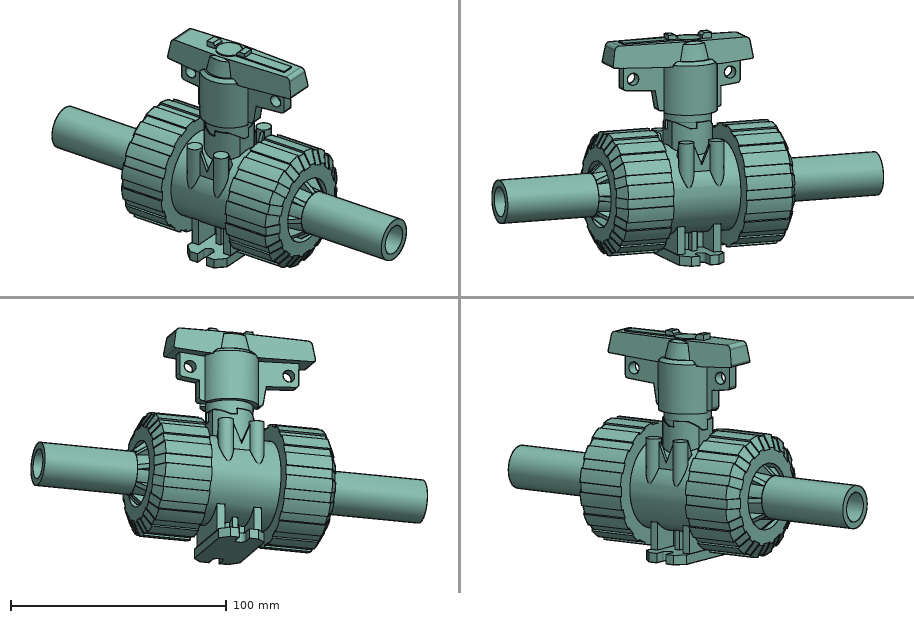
import cadquery as cq

LENGTH = 188.0
AXIS_TO_BASE = 32.9

BODY_R = 21.0
BODY_HALF = 35.7
BODY_BORE_R = 6.4

PIPE_R = 10.2
PIPE_BORE_R = 7.0
HUB_START = 48.5
HUB_SMALL_R = 10.3
HUB_LARGE_R = 11.3
FLANGE_FACE = 37.6
RIB_COUNT = 8
RIB_WIDTH = 2.3
RIB_TOP_X = 42.0

NUT_R = 29.0
NUT_INNER_X = 18.2
NUT_OUTER_X = 44.5
NUT_CHAMFER_X = 3.5
NUT_CHAMFER_R = 6.0
NUT_HOLE_R = 15.6
SLOT_COUNT = 16
SLOT_WIDTH = 4.7
SLOT_DEPTH = 1.0

POST_X = 7.5
POST_Y = 17.1
POST_R = 3.5
POST_TOP = 25.0
WEB_THICK = 1.7
V_BOTTOM = 14.1
V_SLOPE = 2.3
SIDE_WEB_X = 9.0
SIDE_WEB_TOP_Y = 14.0
SIDE_WEB_TOP_Z = 24.3
SIDE_WEB_LOW_Y = 10.5

PLATE_X = 22.4
PLATE_Y = 43.8
PLATE_THICK = 4.5
PLATE_CHAMFER = 4.3
FOOT_SLOT_W = 5.0
FOOT_SLOT_Y = 16.5
LEG_OUTER_X = 10.9
LEG_THICK = 3.8
LEG_Y = 29.0
FOOT_BOSS_R = 4.5
FOOT_RIB_THICK = 2.6
FOOT_RIB_Y = 17.3

NECK_R = 11.7
NECK_FLAT_X = 10.2
NECK_TOP = 32.9
NECK_CORE_R = 8.5
TOOTH_FLAT = 3.0
TOOTH_SPAN = 9.4
FRONT_TOOTH_LOW = 30.0
SIDE_TOOTH_LOW = 28.4

STEM_R = 11.0
STEM_TOP = 48.5
SHELL_R = 13.7
SHELL_BOTTOM = 36.8
SHELL_TOP = 60.2
SHELL_CHAMFER = 1.7
SHELL_GAP = 7.1
CONE_TOP_R = 9.4
CONE_EDGE_Z = 69.5
CONE_ROUND = 1.5
CAP_R = 6.2

GRIP_LEFT = -29.9
GRIP_RIGHT = 40.2
GRIP_TOP = 70.7
GRIP_END_Z = 60.5
GRIP_MID_Z = 59.5
GRIP_END_LEAN = 1.7
GRIP_TOP_FILLET = 2.3
GRIP_LOW_FILLET = 1.0
GRIP_MID_HALF_W = 9.2
GRIP_LEFT_HALF_W = 7.9
GRIP_RIGHT_HALF_W = 7.1
GRIP_DRAFT = 7.0
LUG_INNER = 6.2
LUG_OUTER = 10.7
LUG_TOP = 73.3
LUG_CHAMFER = 1.1
RAIL_END = 33.5
RAIL_WIDTH = 5.8
RAISED_TOP = 71.3

HANDLE_WEB_W = 5.5
EAR_LEFT = -25.2
EAR_LEFT_Z = 48.7
EAR_RIGHT = 33.3
EAR_RIGHT_Z = 48.7
TAIL_TOP_Z = 47.5
TAIL_BOTTOM_Z = 37.8
TAIL_LEFT = -15.6
TAIL_RIGHT_TOP = 17.3
TAIL_RIGHT_LOW = 15.6
WEB_FILLET = 1.5
EYE_R = 2.8
EYE_Z = 53.8
EYE_LEFT_X = -20.1
EYE_RIGHT_X = 28.4


def x_cylinder(radius, x0, x1):
    return cq.Workplane("YZ").workplane(offset=x0).circle(radius).extrude(x1 - x0)


def z_cylinder(radius, z0, z1):
    return cq.Workplane("XY").workplane(offset=z0).circle(radius).extrude(z1 - z0)


def block(x0, x1, y0, y1, z0, z1):
    return cq.Workplane("XY").box(x1 - x0, y1 - y0, z1 - z0, centered=False).translate((x0, y0, z0))


def xz_prism(points, y0, y1):
    """Polygon in X and Z, extruded from y0 to y1."""
    return cq.Workplane("XZ", origin=(0, y1, 0)).polyline(points).close().extrude(y1 - y0)


def revolve_x(points):
    """Revolve an (x, radius) outline about the X axis."""
    return cq.Workplane("XY").polyline(points).close().revolve(360, (0, 0, 0), (1, 0, 0))


def round_corners(prism, corners, radius):
    """Fillet the Y-parallel edges that pass through the given (x, z) corners."""
    for x, z in corners:
        prism = prism.edges("|Y").edges(cq.selectors.NearestToPointSelector((x, 0, z))).fillet(radius)
    return prism


def mirrored(shape):
    """The same shape turned half way round the vertical axis."""
    return shape.rotate((0, 0, 0), (0, 0, 1), 180)


def make_connector():
    """Connector at the +X end: pipe, conical hub with ribs, clamped flange."""
    body = revolve_x([
        (BODY_HALF, 0), (BODY_HALF, BODY_R), (FLANGE_FACE, BODY_R), (FLANGE_FACE, HUB_LARGE_R),
        (HUB_START, HUB_SMALL_R), (HUB_START, PIPE_R), (LENGTH / 2, PIPE_R), (LENGTH / 2, 0),
    ])
    rib = xz_prism(
        [(FLANGE_FACE, 0), (FLANGE_FACE, NUT_HOLE_R), (RIB_TOP_X, NUT_HOLE_R),
         (HUB_START, HUB_SMALL_R), (HUB_START, 0)],
        -RIB_WIDTH / 2, RIB_WIDTH / 2,
    ).intersect(x_cylinder(NUT_HOLE_R, FLANGE_FACE, HUB_START))
    for i in range(RIB_COUNT):
        body = body.union(rib.rotate((0, 0, 0), (1, 0, 0), i * 360 / RIB_COUNT))
    return body.cut(x_cylinder(PIPE_BORE_R, BODY_HALF, LENGTH / 2))


def nut_blank(radius):
    shoulder = NUT_OUTER_X - NUT_CHAMFER_X
    return revolve_x([
        (NUT_INNER_X, 0), (NUT_INNER_X, radius), (shoulder, radius),
        (NUT_OUTER_X, radius - NUT_CHAMFER_R), (NUT_OUTER_X, 0),
    ])


def make_nut():
    """Nut at the +X end, with shallow grip slots around the outside."""
    slot = block(NUT_INNER_X, NUT_OUTER_X, -SLOT_WIDTH / 2, SLOT_WIDTH / 2, BODY_R, NUT_R)
    grip = nut_blank(NUT_R)
    for i in range(SLOT_COUNT):
        grip = grip.cut(slot.rotate((0, 0, 0), (1, 0, 0), i * 360 / SLOT_COUNT))
    nut = grip.union(nut_blank(NUT_R - SLOT_DEPTH))
    nut = nut.cut(x_cylinder(BODY_R, NUT_INNER_X, FLANGE_FACE))
    return nut.cut(x_cylinder(NUT_HOLE_R, FLANGE_FACE, NUT_OUTER_X))


def make_tooth(low, radius, angle):
    """Tooth hanging under the handle; it starts upright and ramps back up."""
    tooth = xz_prism(
        [(0, NECK_TOP), (0, low), (-TOOTH_FLAT, low), (-TOOTH_SPAN, NECK_TOP)], -radius, 0)
    ring = z_cylinder(radius, low, NECK_TOP).cut(z_cylinder(NECK_CORE_R, low, NECK_TOP))
    return tooth.intersect(ring).rotate((0, 0, 0), (0, 0, 1), angle)


def make_teeth(radius):
    """Two shallow teeth at the front and back, two deep ones at the sides."""
    teeth = []
    for turn in (0, 180):
        teeth.append(make_tooth(FRONT_TOOTH_LOW, radius, turn))
        teeth.append(make_tooth(SIDE_TOOTH_LOW, radius, turn - 90))
    return teeth


def make_neck():
    neck = z_cylinder(NECK_R, 0, NECK_TOP)
    return neck.intersect(block(-NECK_FLAT_X, NECK_FLAT_X, -NECK_R, NECK_R, 0, NECK_TOP))


def make_post_group():
    """Two posts on the -Y side, the V web joining them and their side webs."""
    web_y = -POST_Y - WEB_THICK / 2
    v_rise = V_SLOPE * POST_X
    group = xz_prism(
        [(-POST_X, 0), (-POST_X, V_BOTTOM + v_rise), (0, V_BOTTOM),
         (POST_X, V_BOTTOM + v_rise), (POST_X, 0)],
        web_y, web_y + WEB_THICK,
    ).intersect(block(-POST_X, POST_X, -BODY_R, 0, 0, POST_TOP))
    low_z = SIDE_WEB_TOP_Z - V_SLOPE * (SIDE_WEB_TOP_Y - SIDE_WEB_LOW_Y)
    for side in (-1, 1):
        post = z_cylinder(POST_R, 0, POST_TOP).translate((side * POST_X, -POST_Y, 0))
        side_web = (
            cq.Workplane("YZ", origin=(side * SIDE_WEB_X - WEB_THICK / 2, 0, 0))
            .polyline([(-POST_Y, 0), (-POST_Y, SIDE_WEB_TOP_Z), (-SIDE_WEB_TOP_Y, SIDE_WEB_TOP_Z),
                       (-SIDE_WEB_LOW_Y, low_z), (-SIDE_WEB_LOW_Y, 0)])
            .close().extrude(WEB_THICK)
        )
        group = group.union(post).union(side_web)
    return group


def make_foot():
    plate_top = -AXIS_TO_BASE + PLATE_THICK
    plate = (
        block(-PLATE_X / 2, PLATE_X / 2, -PLATE_Y / 2, PLATE_Y / 2, -AXIS_TO_BASE, plate_top)
        .edges("|Z").chamfer(PLATE_CHAMFER)
    )
    leg_inner = LEG_OUTER_X - LEG_THICK
    foot = plate.union(z_cylinder(FOOT_BOSS_R, plate_top, 0))
    foot = foot.union(block(-leg_inner, leg_inner, -FOOT_RIB_THICK / 2, FOOT_RIB_THICK / 2, plate_top, 0))
    foot = foot.union(
        block(-FOOT_RIB_THICK / 2, FOOT_RIB_THICK / 2, -FOOT_RIB_Y / 2, FOOT_RIB_Y / 2, plate_top, 0))
    for side in (-1, 1):
        leg = block(leg_inner, LEG_OUTER_X, -LEG_Y / 2, LEG_Y / 2, plate_top, 0)
        slot = z_cylinder(FOOT_SLOT_W / 2, -AXIS_TO_BASE, plate_top).translate((0, FOOT_SLOT_Y, 0))
        slot = slot.union(block(-FOOT_SLOT_W / 2, FOOT_SLOT_W / 2, FOOT_SLOT_Y, PLATE_Y,
                                -AXIS_TO_BASE, plate_top))
        if side < 0:
            leg = mirrored(leg)
            slot = mirrored(slot)
        foot = foot.union(leg).cut(slot)
    return foot


def make_body():
    posts = make_post_group()
    body = x_cylinder(BODY_R, -BODY_HALF, BODY_HALF)
    body = body.union(make_neck()).union(posts).union(mirrored(posts)).union(make_foot())
    for tooth in make_teeth(NECK_R):
        body = body.cut(tooth)
    return body.cut(x_cylinder(BODY_BORE_R, -BODY_HALF, BODY_HALF))


def make_handle_hub():
    """Slotted shell around the stem, closed by a cone and a flat cap."""
    cone_base = SHELL_TOP + SHELL_CHAMFER
    hub = (
        cq.Workplane("XZ")
        .polyline([(0, SHELL_BOTTOM), (SHELL_R, SHELL_BOTTOM), (SHELL_R, SHELL_TOP),
                   (SHELL_R - SHELL_CHAMFER, cone_base), (STEM_R, cone_base),
                   (CONE_TOP_R, CONE_EDGE_Z), (CONE_TOP_R - CONE_ROUND, GRIP_TOP),
                   (CAP_R, GRIP_TOP), (CAP_R, RAISED_TOP), (0, RAISED_TOP)])
        .close().revolve(360, (0, 0, 0), (0, 1, 0))
    )
    gap = block(-SHELL_R, SHELL_R, -SHELL_GAP / 2, SHELL_GAP / 2, SHELL_BOTTOM, SHELL_TOP)
    return hub.cut(gap).union(z_cylinder(STEM_R, NECK_TOP, STEM_TOP))


def make_grip():
    """Tapered bar: its plan is drafted upward, then trimmed to the side profile."""
    plan_left = GRIP_LEFT - GRIP_END_LEAN
    plan_right = GRIP_RIGHT + GRIP_END_LEAN
    plan = (
        cq.Workplane("XY").workplane(offset=GRIP_MID_Z)
        .polyline([
            (plan_left, -GRIP_LEFT_HALF_W), (0, -GRIP_MID_HALF_W), (plan_right, -GRIP_RIGHT_HALF_W),
            (plan_right, GRIP_RIGHT_HALF_W), (0, GRIP_MID_HALF_W), (plan_left, GRIP_LEFT_HALF_W)])
        .close().extrude(GRIP_TOP - GRIP_MID_Z, taper=GRIP_DRAFT)
    )
    low_corners = [(GRIP_LEFT, GRIP_END_Z), (GRIP_RIGHT, GRIP_END_Z)]
    top_corners = [(GRIP_LEFT + GRIP_END_LEAN, GRIP_TOP), (GRIP_RIGHT - GRIP_END_LEAN, GRIP_TOP)]
    profile = xz_prism(
        [low_corners[0], (-SHELL_R, GRIP_MID_Z), (SHELL_R, GRIP_MID_Z),
         low_corners[1], top_corners[1], top_corners[0]],
        -SHELL_R, SHELL_R,
    )
    profile = round_corners(profile, top_corners, GRIP_TOP_FILLET)
    profile = round_corners(profile, low_corners, GRIP_LOW_FILLET)
    return plan.intersect(profile)


def make_grip_details():
    """Two lugs beside the cap and the low rail along the long arm."""
    half = HANDLE_WEB_W / 2
    lug = block(LUG_INNER, LUG_OUTER, -half, half, CONE_EDGE_Z, LUG_TOP)
    lug = lug.faces(">Z").edges("<X").chamfer(LUG_CHAMFER)
    rail = block(0, RAIL_END, -RAIL_WIDTH / 2, RAIL_WIDTH / 2, CONE_EDGE_Z, RAISED_TOP)
    return lug.union(mirrored(lug)).union(rail)


def make_handle_web():
    half = HANDLE_WEB_W / 2
    low_corners = [(EAR_LEFT, EAR_LEFT_Z), (TAIL_LEFT, TAIL_BOTTOM_Z),
                   (TAIL_RIGHT_LOW, TAIL_BOTTOM_Z), (EAR_RIGHT, EAR_RIGHT_Z)]
    web = xz_prism(
        [(EAR_LEFT, CONE_EDGE_Z), low_corners[0], (TAIL_LEFT, TAIL_TOP_Z), low_corners[1],
         low_corners[2], (TAIL_RIGHT_TOP, TAIL_TOP_Z), low_corners[3], (EAR_RIGHT, CONE_EDGE_Z)],
        -half, half,
    )
    web = round_corners(web, low_corners, WEB_FILLET)
    for x in (EYE_LEFT_X, EYE_RIGHT_X):
        web = web.cut(cq.Workplane("XZ", origin=(x, half, EYE_Z)).circle(EYE_R).extrude(HANDLE_WEB_W))
    return web


def make_handle():
    handle = make_handle_hub().union(make_handle_web()).union(make_grip()).union(make_grip_details())
    for tooth in make_teeth(STEM_R):
        handle = handle.union(tooth)
    return handle


valve_body = make_body()
handle = make_handle()
nut = make_nut()
connector = make_connector()

result = cq.Compound.makeCompound([
    valve_body.val(), handle.val(),
    nut.val(), mirrored(nut).val(),
    connector.val(), mirrored(connector).val(),
])